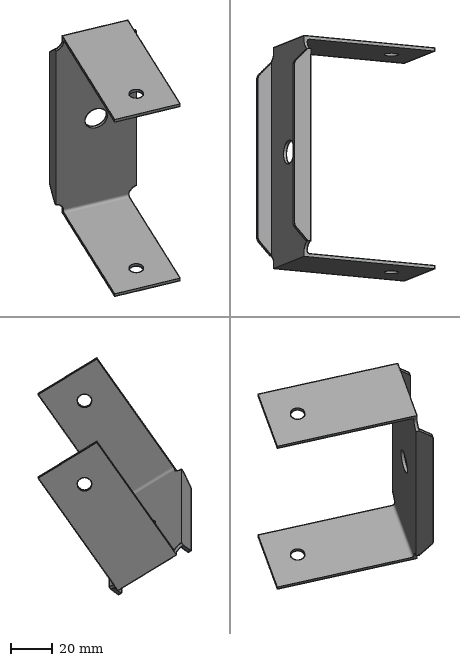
import cadquery as cq

length = 77.4
width = 42.0
height = 109.0
sheet = 1.6

flange_depth = 8.7
arm_width = 34.0
arm_bend_radius = 1.4

flange_setback = 7.1
relief_radius = 3.3
relief_slope_run = 2.7
relief_run_out_radius = 2.9
tip_radius = 3.3

web_hole_diameter = 11.5
arm_hole_diameter = 7.0
arm_hole_inset = 15.0

web_outer_x = flange_depth - sheet
half_width = width / 2
half_arm = arm_width / 2
half_height = height / 2
flange_top = half_height - flange_setback


def make_channel():
    """Web and two arms, with the outside corners left square."""
    channel = cq.Workplane("XY").box(length - web_outer_x, arm_width, height, centered=(False, True, True))
    cavity = (
        cq.Workplane("XY")
        .box(length - flange_depth, arm_width, height - 2 * sheet, centered=(False, True, True))
        .edges("<X and |Y")
        .fillet(arm_bend_radius)
        .translate((flange_depth - web_outer_x, 0, 0))
    )
    return channel.cut(cavity).translate((web_outer_x, 0, 0))


def make_web():
    """Web plate with a rounded 45 degree relief at each corner."""
    slope_start_z = flange_top + relief_slope_run
    slope_end_y = half_arm + relief_slope_run
    right_side = [
        (half_arm, half_height),
        (half_arm, slope_start_z),
        (slope_end_y, flange_top),
        (half_width, flange_top),
    ]
    lower_right = [(y, -z) for y, z in reversed(right_side)]
    left_side = [(-y, -z) for y, z in right_side + lower_right]
    plate = (
        cq.Workplane("YZ", origin=(web_outer_x, 0, 0))
        .polyline(right_side + lower_right + left_side)
        .close()
        .extrude(sheet)
    )
    for radius, y, z in (
        (relief_radius, half_arm, slope_start_z),
        (relief_run_out_radius, slope_end_y, flange_top),
    ):
        for side in (-1, 1):
            for end in (-1, 1):
                corner = cq.selectors.NearestToPointSelector((flange_depth - sheet / 2, side * y, end * z))
                plate = plate.edges("|X").edges(corner).fillet(radius)
    return plate


def make_flange(side):
    """Side flange on the given Y side, its ends sloping at 45 degrees to a rounded tip."""
    tip_z = flange_top - web_outer_x
    flange = (
        cq.Workplane("XZ", origin=(0, side * (half_width - sheet / 2) + sheet / 2, 0))
        .polyline([
            (flange_depth, -flange_top),
            (web_outer_x, -flange_top),
            (0, -tip_z),
            (0, tip_z),
            (web_outer_x, flange_top),
            (flange_depth, flange_top),
        ])
        .close()
        .extrude(sheet)
    )
    return flange.edges("|Y and <X").fillet(tip_radius)


bracket = make_channel().union(make_web())
for side in (-1, 1):
    bracket = bracket.union(make_flange(side))

web_hole = cq.Workplane("YZ").circle(web_hole_diameter / 2).extrude(flange_depth)
arm_holes = (
    cq.Workplane("XY", origin=(length - arm_hole_inset, 0, 0))
    .circle(arm_hole_diameter / 2)
    .extrude(half_height, both=True)
)

result = bracket.cut(web_hole).cut(arm_holes)